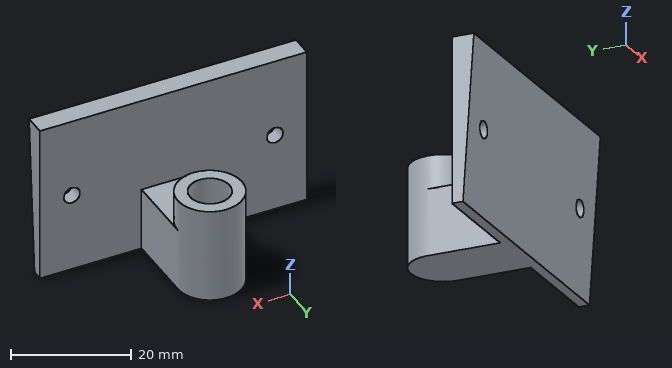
import cadquery as cq

plate_width = 50.0
plate_height = 30.0
plate_top_thickness = 4.0
plate_bottom_thickness = 2.0

screw_hole_diameter = 3.0
screw_hole_edge_distance = 6.0
screw_hole_spacing = plate_width - 2 * screw_hole_edge_distance

socket_diameter = 12.0
socket_height = 18.0
socket_offset = 13.2
bore_diameter = 7.4
bore_floor = 3.0
bore_depth = socket_height - bore_floor
arm_width = socket_diameter
arm_height = 12.0


def make_plate():
    """Wedge-shaped plate with its back on Y = 0 and its base on Z = 0."""
    profile = [
        (0, 0),
        (-plate_bottom_thickness, 0),
        (-plate_top_thickness, plate_height),
        (0, plate_height),
    ]
    return cq.Workplane("YZ").polyline(profile).close().extrude(plate_width / 2, both=True)


def make_screw_holes():
    """Two cylinders along Y at mid height, long enough to cross the plate."""
    return (
        cq.Workplane("XZ", origin=(0, 0, plate_height / 2))
        .rarray(screw_hole_spacing, 1, 2, 1)
        .circle(screw_hole_diameter / 2)
        .extrude(plate_top_thickness)
    )


def make_arm():
    """Block from the plate back to the socket axis."""
    return cq.Workplane("XY").box(arm_width, socket_offset, arm_height, centered=(True, False, False))


def make_socket():
    """Solid upright cylinder that holds the bore."""
    return cq.Workplane("XY", origin=(0, socket_offset, 0)).circle(socket_diameter / 2).extrude(socket_height)


def make_bore():
    """Blind bore, open at the top of the socket."""
    return (
        cq.Workplane("XY", origin=(0, socket_offset, bore_floor))
        .circle(bore_diameter / 2)
        .extrude(bore_depth)
    )


body = make_plate().union(make_arm()).union(make_socket())
result = body.cut(make_screw_holes()).cut(make_bore())